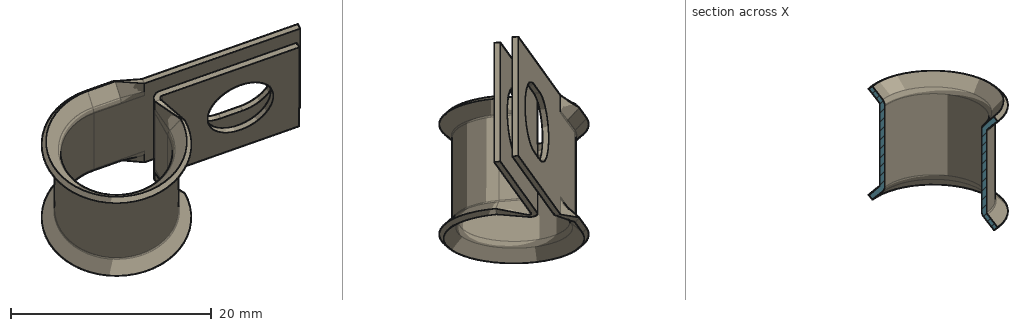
import cadquery as cq
import math


thickness = 0.635
strap_width = 12.7
half_width = strap_width / 2

ring_inner_radius = 5.555
ring_outer_radius = ring_inner_radius + thickness
flare_radius = 7.465
flare_start_z = 4.48
flare_angle = math.radians(45)
flare_bend_radius = 0.25
ring_sweep = 270

long_tab_end_y = 22.585
flare_straight_end_y = 3.0
long_tab_flat_start_y = ring_inner_radius

short_tab_end_y = 21.495
short_tab_left_x = -4.06
tab_bend_inner_radius = 0.355
tab_bend_outer_radius = tab_bend_inner_radius + thickness
tab_bend_x = short_tab_left_x + tab_bend_outer_radius
tab_bend_y = ring_inner_radius + tab_bend_outer_radius

opening_y = 15.08
hole_diameter = 7.16
slot_length = 9.53


def flare_points():
    """Upper-edge section points (radial, Z), from the outer face around the rim to the inner face."""
    sine = math.sin(flare_angle)
    cosine = math.cos(flare_angle)
    bend_center_radius = ring_outer_radius + flare_bend_radius

    def on_bend(bend_radius, angle):
        return (
            bend_center_radius - bend_radius * math.cos(angle),
            flare_start_z + bend_radius * math.sin(angle),
        )

    inner_bend_radius = flare_bend_radius + thickness
    outer_bend_end = on_bend(flare_bend_radius, flare_angle)
    inner_bend_end = on_bend(inner_bend_radius, flare_angle)
    outer_rim = (
        flare_radius,
        outer_bend_end[1] + (flare_radius - outer_bend_end[0]) / math.tan(flare_angle),
    )
    inner_rim = (outer_rim[0] - thickness * cosine, outer_rim[1] + thickness * sine)
    return {
        "outer_start": (ring_outer_radius, flare_start_z),
        "outer_middle": on_bend(flare_bend_radius, flare_angle / 2),
        "outer_end": outer_bend_end,
        "outer_rim": outer_rim,
        "inner_rim": inner_rim,
        "inner_end": inner_bend_end,
        "inner_middle": on_bend(inner_bend_radius, flare_angle / 2),
        "inner_start": (ring_inner_radius, flare_start_z),
    }


def mirrored(point):
    return (point[0], -point[1])


def draw_flared_section(workplane):
    """Full strap section with both edges flared; local X is radial and local Y is Z."""
    p = flare_points()
    return (
        workplane.moveTo(*p["outer_start"])
        .threePointArc(p["outer_middle"], p["outer_end"])
        .lineTo(*p["outer_rim"])
        .lineTo(*p["inner_rim"])
        .lineTo(*p["inner_end"])
        .threePointArc(p["inner_middle"], p["inner_start"])
        .lineTo(*mirrored(p["inner_start"]))
        .threePointArc(mirrored(p["inner_middle"]), mirrored(p["inner_end"]))
        .lineTo(*mirrored(p["inner_rim"]))
        .lineTo(*mirrored(p["outer_rim"]))
        .lineTo(*mirrored(p["outer_end"]))
        .threePointArc(mirrored(p["outer_middle"]), mirrored(p["outer_start"]))
        .close()
    )


def draw_flat_section(workplane):
    """Flat strap section, split at the same places as the flared one so that the two loft cleanly."""
    p = flare_points()
    upper = [
        (ring_outer_radius, flare_start_z),
        (ring_outer_radius, p["outer_end"][1]),
        (ring_outer_radius, half_width),
        (ring_inner_radius, half_width),
        (ring_inner_radius, p["inner_end"][1]),
        (ring_inner_radius, flare_start_z),
    ]
    lower = [mirrored(point) for point in reversed(upper)]
    return workplane.polyline(upper + lower).close()


def section_across_y(y):
    """Section plane facing +Y, with its local X pointing outward along -X."""
    return cq.Workplane(cq.Plane(origin=(0, y, 0), xDir=(-1, 0, 0), normal=(0, 1, 0)))


def section_across_x(x):
    """Section plane facing +X, with its local X pointing outward along +Y."""
    return cq.Workplane(cq.Plane(origin=(x, 0, 0), xDir=(0, 1, 0), normal=(1, 0, 0)))


def make_transition(flared_plane, flat_plane):
    """Blend from the flared section to the flat strap."""
    flared_wire = draw_flared_section(flared_plane).val()
    flat_wire = draw_flat_section(flat_plane).val()
    return cq.Workplane(cq.Solid.makeLoft([flared_wire, flat_wire], True))


def make_ring():
    """Ring from the -X side, around -Y and +X, to the +Y side, plus its straight run-out."""
    ring = draw_flared_section(section_across_y(0)).revolve(ring_sweep, (0, 0), (0, 1))
    straight = draw_flared_section(section_across_y(0)).extrude(flare_straight_end_y)
    return ring.union(straight)


def make_long_tab():
    length = long_tab_end_y - long_tab_flat_start_y
    tab = draw_flat_section(section_across_y(long_tab_flat_start_y)).extrude(length)
    slot = (
        cq.Workplane("YZ", origin=(-ring_outer_radius, opening_y, 0))
        .slot2D(slot_length, hole_diameter)
        .extrude(thickness)
    )
    return tab.cut(slot)


def make_short_tab():
    """Flat tab with the right-angle bend that joins it to the ring."""
    right_x = short_tab_left_x + thickness
    diagonal = math.sqrt(0.5)

    def bend_middle(radius):
        return (tab_bend_x - radius * diagonal, tab_bend_y - radius * diagonal)

    tab = (
        cq.Workplane("XY", origin=(0, 0, -half_width))
        .moveTo(short_tab_left_x, short_tab_end_y)
        .lineTo(short_tab_left_x, tab_bend_y)
        .threePointArc(bend_middle(tab_bend_outer_radius), (tab_bend_x, ring_inner_radius))
        .lineTo(tab_bend_x, ring_outer_radius)
        .threePointArc(bend_middle(tab_bend_inner_radius), (right_x, tab_bend_y))
        .lineTo(right_x, short_tab_end_y)
        .close()
        .extrude(strap_width)
    )
    hole = (
        cq.Workplane("YZ", origin=(short_tab_left_x, opening_y, 0))
        .circle(hole_diameter / 2)
        .extrude(thickness)
    )
    return tab.cut(hole)


long_tab_transition = make_transition(
    section_across_y(flare_straight_end_y), section_across_y(long_tab_flat_start_y)
)
short_tab_transition = make_transition(section_across_x(0), section_across_x(tab_bend_x))

result = (
    make_ring()
    .union(long_tab_transition)
    .union(make_long_tab())
    .union(short_tab_transition)
    .union(make_short_tab())
)